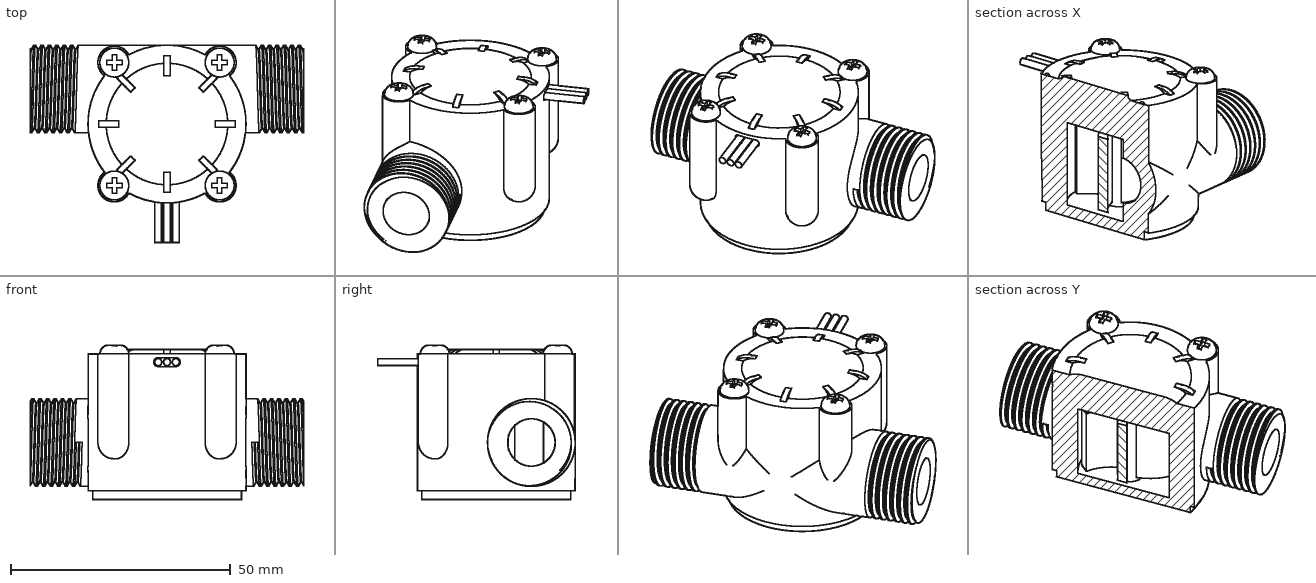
import cadquery as cq
import math

HOUSING_RADIUS = 18.0
HOUSING_TOP = 33.2
FOOT_RADIUS = 17.0
FOOT_HEIGHT = 1.95

PIPE_RADIUS = 10.0
PIPE_HALF_LENGTH = 31.15
PIPE_Y = HOUSING_RADIUS - PIPE_RADIUS
PIPE_Z = 13.0
BORE_RADIUS = 5.4

THREAD_PITCH = 1.693
THREAD_DEPTH = 0.94
THREAD_ROOT_FLAT = 0.25
THREAD_FLANK_ANGLE = 30.0
THREAD_START = 20.0
THREAD_OVERSHOOT = 0.1

SCREW_X = 12.0
SCREW_Y = 14.0
SCREW_PLACES = [(sx * SCREW_X, sy * SCREW_Y) for sx in (-1, 1) for sy in (-1, 1)]
POST_RADIUS = 3.75
HEAD_RADIUS = 3.3
HEAD_HEIGHT = 2.0
CROSS_LENGTH = 3.5
CROSS_WIDTH = 1.0
CROSS_DEPTH = 1.2

DISC_HEIGHT = 1.0
DISC_TOP_RADIUS = 11.0
DISC_BASE_RADIUS = 13.85
RIB_COUNT = 8
RIB_WIDTH = 1.4
RIB_FLAT_END = 12.4
RIB_END = 15.5

WIRE_RADIUS = 0.8
WIRE_SPACING = 2.0
WIRE_COUNT = 3
WIRE_Z = HOUSING_TOP - 1.9
WIRE_END_Y = -27.0
SLOT_HEIGHT = 2.0
SLOT_LENGTH = (WIRE_COUNT - 1) * WIRE_SPACING + SLOT_HEIGHT
SLOT_FLOOR_Y = -15.0

CHAMBER_RADIUS = 12.0
CHAMBER_HEIGHT = 20.0
CHAMBER_FLOOR = PIPE_Z - CHAMBER_HEIGHT / 2
HUB_RADIUS = 3.0
BLADE_COUNT = 4
BLADE_CLEARANCE = 1.0
BLADE_THICKNESS = 2.2
BLADE_CURVE_RADIUS = 12.0
BLADE_TIP_ANGLE = 49.5


def upright_cylinder(radius, bottom, top):
    return cq.Workplane("XY").workplane(offset=bottom).circle(radius).extrude(top - bottom)


def rod_along_x(radius):
    middle = cq.Plane(origin=(0, PIPE_Y, PIPE_Z), xDir=(0, 0, 1), normal=(1, 0, 0))
    return cq.Workplane(middle).circle(radius).extrude(PIPE_HALF_LENGTH, both=True)


def rounded_slope(outline, inner, outer):
    """Continue an outline down an arc that leaves the flat top smoothly at the inner radius."""
    run = outer - inner
    arc_radius = (run**2 + DISC_HEIGHT**2) / (2 * DISC_HEIGHT)
    half_turn = math.asin(run / arc_radius) / 2
    top = HOUSING_TOP + DISC_HEIGHT
    middle = (inner + arc_radius * math.sin(half_turn), top - arc_radius * (1 - math.cos(half_turn)))
    return outline.threePointArc(middle, (outer, HOUSING_TOP))


def raised_disc():
    outline = cq.Workplane("XZ").moveTo(0, HOUSING_TOP).lineTo(0, HOUSING_TOP + DISC_HEIGHT)
    outline = outline.lineTo(DISC_TOP_RADIUS, HOUSING_TOP + DISC_HEIGHT)
    outline = rounded_slope(outline, DISC_TOP_RADIUS, DISC_BASE_RADIUS).close()
    return outline.revolve(360, (0, 0), (0, 1))


def disc_rib(angle):
    inner = DISC_TOP_RADIUS
    outline = cq.Workplane("XZ").moveTo(inner, HOUSING_TOP).lineTo(inner, HOUSING_TOP + DISC_HEIGHT)
    outline = outline.lineTo(RIB_FLAT_END, HOUSING_TOP + DISC_HEIGHT)
    outline = rounded_slope(outline, RIB_FLAT_END, RIB_END).close()
    return outline.extrude(RIB_WIDTH / 2, both=True).rotate((0, 0, 0), (0, 0, 1), angle)


def screw_post(x, y):
    post = cq.Workplane("XY", origin=(x, y, PIPE_Z)).circle(POST_RADIUS).extrude(HOUSING_TOP - PIPE_Z)
    rounded_end = cq.Workplane("XY", origin=(x, y, PIPE_Z)).sphere(POST_RADIUS)
    return post.union(rounded_end)


def thread_groove():
    """Helical V groove of the +X pipe end, starting square on the -Y side and running off the end."""
    outer = PIPE_RADIUS + THREAD_OVERSHOOT
    root = PIPE_RADIUS - THREAD_DEPTH
    root_half = THREAD_ROOT_FLAT / 2
    outer_half = root_half + (outer - root) * math.tan(math.radians(THREAD_FLANK_ANGLE))
    length = PIPE_HALF_LENGTH - THREAD_START + THREAD_PITCH
    corners = [(root, -root_half), (outer, -outer_half), (outer, outer_half), (root, root_half)]
    edges = [
        cq.Wire.makeHelix(THREAD_PITCH, length, radius).moved(cq.Location(cq.Vector(0, 0, shift)))
        for radius, shift in corners
    ]
    sides = [cq.Face.makeRuledSurface(edges[i - 1], edges[i]) for i in range(len(edges))]
    start = cq.Wire.makePolygon([edge.startPoint() for edge in edges], close=True)
    end = cq.Wire.makePolygon([edge.endPoint() for edge in edges], close=True)
    caps = [cq.Face.makeFromWires(start), cq.Face.makeFromWires(end)]
    groove = cq.Solid.makeSolid(cq.Shell.makeShell(sides + caps))
    pipe_end = cq.Plane(origin=(THREAD_START, PIPE_Y, PIPE_Z), xDir=(0, -1, 0), normal=(1, 0, 0))
    return cq.Workplane(obj=groove.moved(pipe_end.location))


def make_housing():
    body = upright_cylinder(HOUSING_RADIUS, FOOT_HEIGHT, HOUSING_TOP)
    body = body.union(upright_cylinder(FOOT_RADIUS, 0, FOOT_HEIGHT))
    groove = thread_groove()
    pipe = rod_along_x(PIPE_RADIUS).cut(groove).cut(groove.mirror("YZ"))
    body = body.union(pipe)
    for x, y in SCREW_PLACES:
        body = body.union(screw_post(x, y))
    body = body.union(raised_disc())
    for i in range(RIB_COUNT):
        body = body.union(disc_rib(i * 360 / RIB_COUNT))
    chamber = upright_cylinder(CHAMBER_RADIUS, CHAMBER_FLOOR, CHAMBER_FLOOR + CHAMBER_HEIGHT)
    wire_slot = cq.Workplane("XZ", origin=(0, SLOT_FLOOR_Y, WIRE_Z)).slot2D(SLOT_LENGTH, SLOT_HEIGHT)
    wire_slot = wire_slot.extrude(HOUSING_RADIUS + SLOT_FLOOR_Y)
    return body.cut(rod_along_x(BORE_RADIUS)).cut(chamber).cut(wire_slot)


def make_screw_head(x, y):
    top = HOUSING_TOP + HEAD_HEIGHT
    flat_radius = HEAD_RADIUS - HEAD_HEIGHT
    bend = HEAD_HEIGHT * math.sqrt(0.5)
    outline = cq.Workplane("XZ").moveTo(0, HOUSING_TOP).lineTo(HEAD_RADIUS, HOUSING_TOP)
    outline = outline.threePointArc((flat_radius + bend, HOUSING_TOP + bend), (flat_radius, top))
    head = outline.lineTo(0, top).close().revolve(360, (0, 0), (0, 1))
    for length, width in ((CROSS_LENGTH, CROSS_WIDTH), (CROSS_WIDTH, CROSS_LENGTH)):
        head = head.cut(cq.Workplane("XY", origin=(0, 0, top)).rect(length, width).extrude(-CROSS_DEPTH))
    return head.translate((x, y, 0))


def make_wire(x):
    wire = cq.Workplane("XZ", origin=(x, SLOT_FLOOR_Y, WIRE_Z)).circle(WIRE_RADIUS)
    return wire.extrude(SLOT_FLOOR_Y - WIRE_END_Y)


def rotor_blade(angle):
    """Curved blade: a ring sector hollow on the side that faces -X at angle 0, rooted inside the hub."""
    def on_arc(radius, degrees):
        turn = math.radians(degrees)
        return (radius * math.cos(turn) - BLADE_CURVE_RADIUS, radius * math.sin(turn))

    inner = BLADE_CURVE_RADIUS
    outer = BLADE_CURVE_RADIUS + BLADE_THICKNESS
    middle = BLADE_TIP_ANGLE / 2
    blade = cq.Workplane("XY").workplane(offset=CHAMBER_FLOOR + BLADE_CLEARANCE)
    blade = blade.moveTo(*on_arc(inner, 0))
    blade = blade.threePointArc(on_arc(inner, middle), on_arc(inner, BLADE_TIP_ANGLE))
    blade = blade.lineTo(*on_arc(outer, BLADE_TIP_ANGLE))
    blade = blade.threePointArc(on_arc(outer, middle), on_arc(outer, 0)).close()
    blade = blade.extrude(CHAMBER_HEIGHT - 2 * BLADE_CLEARANCE)
    return blade.rotate((0, 0, 0), (0, 0, 1), angle)


def make_rotor():
    rotor = upright_cylinder(HUB_RADIUS, CHAMBER_FLOOR, CHAMBER_FLOOR + CHAMBER_HEIGHT)
    for i in range(BLADE_COUNT):
        rotor = rotor.union(rotor_blade(i * 360 / BLADE_COUNT))
    return rotor


screw_heads = [make_screw_head(x, y) for x, y in SCREW_PLACES]
housing = make_housing()
for head in screw_heads:
    housing = housing.cut(head)
rotor = make_rotor()
wires = [make_wire((i - (WIRE_COUNT - 1) / 2) * WIRE_SPACING) for i in range(WIRE_COUNT)]

result = cq.Compound.makeCompound(
    [housing.val(), rotor.val()]
    + [head.val() for head in screw_heads]
    + [wire.val() for wire in wires]
)